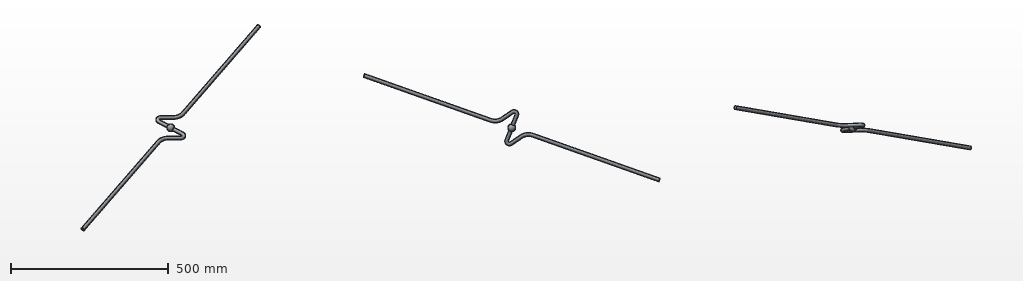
import cadquery as cq
import math

total_length = 1000.0
total_width = 120.0
rod_diameter = 12.0
ball_diameter = 25.0
crank_bend_radius = 9.0
arm_bend_radius = 39.0
arm_bend_end = 71.0

rod_radius = rod_diameter / 2
half_length = total_length / 2
crank_reach = total_width / 2 - rod_radius

crank_centre = cq.Vector(crank_bend_radius - crank_reach, crank_bend_radius)
arm_centre = cq.Vector(-arm_bend_radius, arm_bend_end)


def diagonal_heading():
    """Angle from +X of the straight that is an inner tangent to both bends."""
    between = arm_centre - crank_centre
    line_of_centres = math.atan2(between.y, between.x)
    cross_over = math.asin((crank_bend_radius + arm_bend_radius) / between.Length)
    return line_of_centres - cross_over


def add_bend(path, centre, radius, start_angle, end_angle):
    """Run straight to the start of a bend, then round it; angles are measured from +X."""

    def on_bend(angle):
        return (centre.x + radius * math.cos(angle), centre.y + radius * math.sin(angle))

    middle_angle = (start_angle + end_angle) / 2
    return path.lineTo(*on_bend(start_angle)).threePointArc(on_bend(middle_angle), on_bend(end_angle))


def half_rod():
    """Round rod from the ball centre through both bends to the tip at +Y."""
    quarter_turn = math.radians(90)
    heading = diagonal_heading()

    path = cq.Workplane("XY")
    path = add_bend(path, crank_centre, crank_bend_radius, 3 * quarter_turn, heading + quarter_turn)
    path = add_bend(path, arm_centre, arm_bend_radius, heading - quarter_turn, 0)
    path = path.lineTo(0, half_length)
    return cq.Workplane("YZ").circle(rod_radius).sweep(path)


rod = half_rod()
opposite_rod = rod.rotate((0, 0, 0), (0, 0, 1), 180)
ball = cq.Workplane("XY").sphere(ball_diameter / 2)

result = ball.union(rod).union(opposite_rod)